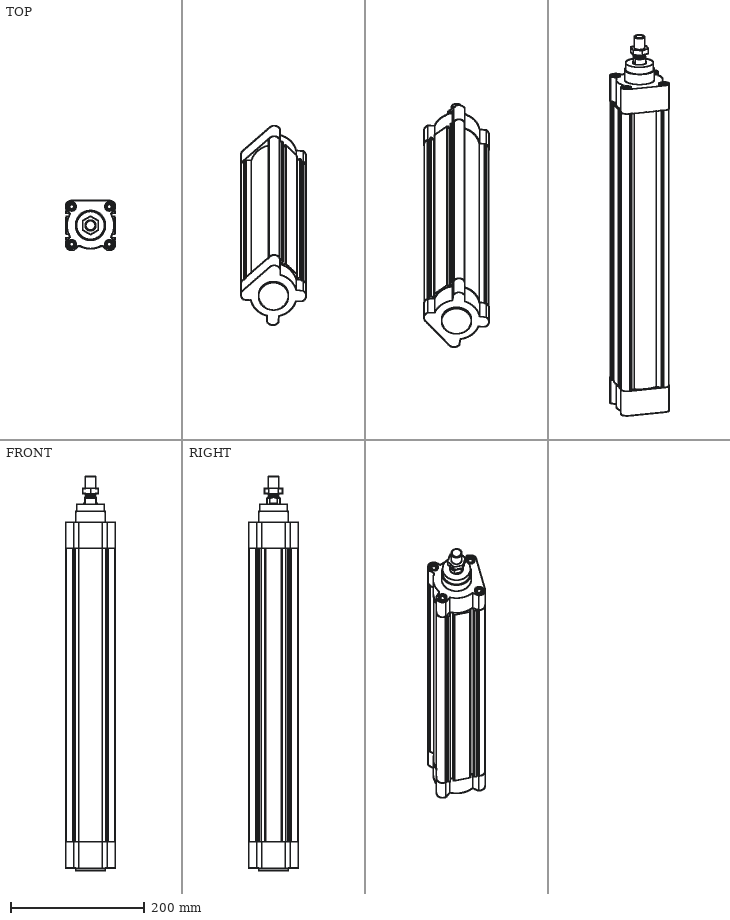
import cadquery as cq
import math


cap_width = 75.0
cap_half_width = cap_width / 2
barrel_width = 74.4
barrel_half_width = barrel_width / 2
screw_spacing = 56.5
screw_offset = screw_spacing / 2
cap_corner_radius = cap_half_width - screw_offset
barrel_corner_radius = barrel_half_width - screw_offset

housing_length = 520.1
cap_length = 39.3
barrel_length = housing_length - 2 * cap_length
rear_cap_bottom = -housing_length
barrel_bottom = rear_cap_bottom + cap_length
front_cap_bottom = -cap_length

cap_arc_radius = 35.2
cap_arc_half_chord = 17.5
barrel_arc_radius = 34.5
barrel_arc_half_chord = 17.5
cap_lobe_end = 25.3

barrel_lobe_end = 26.4
ledge_start = 25.0
ledge_depth = 1.8
ledge_end = 23.2
ledge_flank_end = ledge_end - ledge_depth

slot_outer_edge = 18.2
slot_inner_edge = 13.4
slot_shoulder_edge = 11.8
slot_shoulder_depth = 0.5
slot_depth = 5.0

boss_diameter = 45.0
nose_diameter = 42.0
collar_height = 16.0
nose_top = 27.0
rear_boss_height = 4.0

counterbore_diameter = 13.2
counterbore_depth = 6.0
screw_head_diameter = 12.0
screw_head_top = -1.0
screw_hole_mouth_diameter = 8.0
screw_hole_diameter = 6.65
screw_hole_bottom = -12.0
drill_point_angle = 118.0

rod_bottom = front_cap_bottom
rod_diameter = 20.0
rod_shoulder_z = 37.0
shoulder_chamfer = 1.5
flats_width = 17.0
flats_bottom = nose_top + 1.0
thread_diameter = 16.0
thread_length = 32.0
thread_top = rod_shoulder_z + thread_length
neck_diameter = 13.9
neck_top = 39.5
thread_runout_top = 42.0
thread_tip_chamfer = (thread_diameter - neck_diameter) / 2

nut_across_flats = 24.0
nut_height = 8.0
nut_bottom = 42.7


def cylinder(diameter, bottom, top):
    return cq.Workplane("XY", origin=(0, 0, bottom)).circle(diameter / 2).extrude(top - bottom)


def turned(profile):
    """Revolve a closed outline of (radius, z) points about the Z axis."""
    return cq.Workplane("XZ").polyline(profile).close().revolve(360, (0, 0), (0, 1))


def square_block(bottom, length, width, corner_radius):
    block = cq.Workplane("XY", origin=(0, 0, bottom)).rect(width, width).extrude(length)
    return block.edges("|Z").fillet(corner_radius)


def round_side_cut(bottom, length, arc_radius, arc_half_chord, lobe_side):
    """Material to remove from the -Y side of a block between two lobes.

    lobe_side holds the (x, y) points from the side face at the +X lobe to the start of the arc.
    """
    arc_end = (arc_half_chord, -math.sqrt(arc_radius**2 - arc_half_chord**2))
    right_points = lobe_side + [arc_end]
    left_points = [(-x, y) for x, y in reversed(right_points)]
    outline = cq.Workplane("XY", origin=(0, 0, bottom)).polyline(right_points)
    outline = outline.threePointArc((0, -arc_radius), left_points[0])
    for point in left_points[1:]:
        outline = outline.lineTo(*point)
    return outline.close().extrude(length)


def around_axis(shape, angle):
    return shape.rotate((0, 0, 0), (0, 0, 1), angle)


def make_cap(bottom):
    """End cap with three round sides and a flat +Y side."""
    cap = square_block(bottom, cap_length, cap_width, cap_corner_radius)
    lobe_side = [(cap_lobe_end, -cap_half_width)]
    side_cut = round_side_cut(bottom, cap_length, cap_arc_radius, cap_arc_half_chord, lobe_side)
    for angle in (-90, 0, 90):
        cap = cap.cut(around_axis(side_cut, angle))
    return cap


def make_flat_side_grooves():
    """Ledge groove and sensor slot in the +Y half of the barrel's +X side."""
    ledge_face = barrel_half_width - ledge_depth
    ledge_groove = [
        (barrel_half_width, barrel_lobe_end),
        (ledge_face, ledge_start),
        (ledge_face, ledge_end),
        (barrel_half_width, ledge_flank_end),
    ]
    shoulder_face = barrel_half_width - slot_shoulder_depth
    slot_floor = barrel_half_width - slot_depth
    sensor_slot = [
        (barrel_half_width, slot_outer_edge),
        (slot_floor, slot_outer_edge),
        (slot_floor, slot_inner_edge),
        (shoulder_face, slot_inner_edge),
        (shoulder_face, slot_shoulder_edge),
        (barrel_half_width, slot_shoulder_edge),
    ]
    plane = cq.Workplane("XY", origin=(0, 0, barrel_bottom))
    return plane.polyline(ledge_groove).close().polyline(sensor_slot).close().extrude(barrel_length)


def make_barrel():
    """Profile with round +Y and -Y sides and slotted flat +X and -X sides."""
    barrel = square_block(barrel_bottom, barrel_length, barrel_width, barrel_corner_radius)
    ledge_face = barrel_half_width - ledge_depth
    lobe_side = [
        (barrel_lobe_end, -barrel_half_width),
        (ledge_start, -ledge_face),
        (ledge_end, -ledge_face),
    ]
    side_cut = round_side_cut(
        barrel_bottom, barrel_length, barrel_arc_radius, barrel_arc_half_chord, lobe_side
    )
    upper_grooves = make_flat_side_grooves()
    lower_grooves = upper_grooves.mirror("XZ")
    for angle in (0, 180):
        barrel = barrel.cut(around_axis(side_cut, angle))
        barrel = barrel.cut(around_axis(upper_grooves, angle))
        barrel = barrel.cut(around_axis(lower_grooves, angle))
    return barrel


def make_screw_recess():
    """Ring gap around a screw head, the space above the head, and the hole in the head."""
    counterbore = cylinder(counterbore_diameter, -counterbore_depth, 0)
    ring_gap = counterbore.cut(cylinder(screw_head_diameter, -counterbore_depth, screw_head_top))
    hole_radius = screw_hole_diameter / 2
    mouth_radius = screw_hole_mouth_diameter / 2
    drill_point_length = hole_radius / math.tan(math.radians(drill_point_angle / 2))
    hole = turned([
        (0, screw_head_top),
        (mouth_radius, screw_head_top),
        (hole_radius, screw_head_top - (mouth_radius - hole_radius)),
        (hole_radius, screw_hole_bottom),
        (0, screw_hole_bottom - drill_point_length),
    ])
    return ring_gap.union(hole)


def make_housing():
    """Barrel, caps, collar, nose and rear boss as one solid, bored for the rod."""
    housing = make_barrel().union(make_cap(front_cap_bottom)).union(make_cap(rear_cap_bottom))
    housing = housing.union(cylinder(boss_diameter, 0, collar_height))
    housing = housing.union(cylinder(nose_diameter, collar_height, nose_top))
    housing = housing.union(cylinder(boss_diameter, rear_cap_bottom - rear_boss_height, rear_cap_bottom))
    screw_recess = make_screw_recess()
    for x in (-screw_offset, screw_offset):
        for y in (-screw_offset, screw_offset):
            housing = housing.cut(screw_recess.translate((x, y, 0)))
    return housing.cut(cylinder(rod_diameter, rod_bottom, nose_top))


def make_rod():
    rod_radius = rod_diameter / 2
    neck_radius = neck_diameter / 2
    thread_radius = thread_diameter / 2
    rod = turned([
        (0, rod_bottom),
        (rod_radius, rod_bottom),
        (rod_radius, rod_shoulder_z - shoulder_chamfer),
        (rod_radius - shoulder_chamfer, rod_shoulder_z),
        (neck_radius, rod_shoulder_z),
        (neck_radius, neck_top),
        (thread_radius, thread_runout_top),
        (thread_radius, thread_top - thread_tip_chamfer),
        (thread_radius - thread_tip_chamfer, thread_top),
        (0, thread_top),
    ])
    flats_height = rod_shoulder_z - flats_bottom
    between_flats = (
        cq.Workplane("XY", origin=(0, 0, flats_bottom)).rect(flats_width, rod_diameter).extrude(flats_height)
    )
    beside_flats = cylinder(rod_diameter, flats_bottom, rod_shoulder_z).cut(between_flats)
    return rod.cut(beside_flats)


def make_nut():
    """Hexagon nut with its flats facing +X and -X."""
    hexagon = cq.Workplane("XY", origin=(0, 0, nut_bottom)).polygon(6, nut_across_flats, circumscribed=True)
    return hexagon.extrude(nut_height).cut(cylinder(thread_diameter, nut_bottom, nut_bottom + nut_height))


housing = make_housing()
rod = make_rod()
nut = make_nut()
result = cq.Compound.makeCompound([housing.val(), rod.val(), nut.val()])